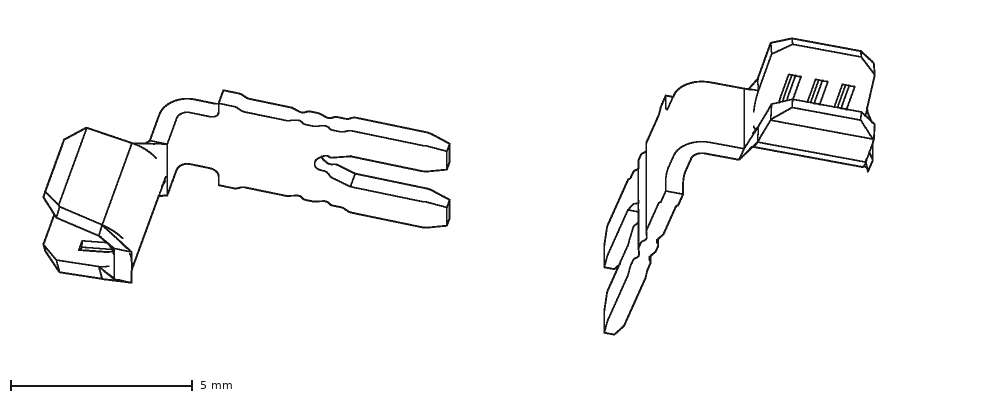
import cadquery as cq
import math

overall_length = 10.39
overall_depth = 5.47
thickness = 0.5

blade_half_height = 1.71
waist_half_height = 1.58
neck_half_height = 1.08
shoulder_x = 3.91
shoulder_radius = 0.25
waist_start_x = 4.41
waist_end_x = 7.64
waist_ramp = 0.19
waist_radius = 0.21

prong_inner_z = 0.63
slot_mouth_x = 7.67
slot_vertex_x = 6.14
slot_radius = 0.31
point_start_x = 9.83
point_taper = 0.16
thinning_start_x = 9.73
thinning = 0.1

groove_start_x = 5.86
groove_pitch = 0.77
groove_count = 2
groove_depth = 0.12
groove_ramp_angle = math.radians(20)
groove_edge_radius = 0.15
groove_root_radius = 0.18

bend_inner_radius = 0.3
bend_outer_radius = bend_inner_radius + thickness
trough_axis_x = 1.64
trough_outer_radius = 1.15
trough_inner_radius = trough_outer_radius - thickness
neck_outer_x = trough_axis_x + trough_outer_radius
neck_inner_x = neck_outer_x - thickness
neck_end_y = -1.78
trough_back_y = -2.04
trough_front_y = -5.13
trough_front_tilt = 4.5
lip_half_height = 0.64

wing_angle = 11
wing_slope = math.radians(wing_angle)
wing_root_x = trough_axis_x + trough_inner_radius * math.sin(wing_slope)
wing_root_z = trough_inner_radius * math.cos(wing_slope)
wing_length = wing_root_x / math.cos(wing_slope)
wing_back_corner = 0.47
wing_front_corner_length = 0.53
wing_front_corner_y = -5.01
wing_tip_front_y = -4.47
wing_tip_thickness = 0.26
wing_tip_chamfer_length = 0.49

grip_first_y = -2.87
grip_pitch = 0.77
grip_count = 3
grip_width = 0.35
grip_floor_width = 0.1
grip_depth = 0.12
grip_wing_length = 0.74


def rounded_outline(plane, corners):
    """Closed outline through corners (x, y, radius); a radius of 0 keeps the corner sharp."""
    steps = []
    for index, (x, y, radius) in enumerate(corners):
        corner = cq.Vector(x, y)
        before = cq.Vector(*corners[index - 1][:2])
        after = cq.Vector(*corners[(index + 1) % len(corners)][:2])
        to_before = (before - corner).normalized()
        to_after = (after - corner).normalized()
        if radius == 0:
            steps.append((corner, corner, corner))
            continue
        half_angle = to_before.getAngle(to_after) / 2
        setback = radius / math.tan(half_angle)
        sagitta = radius / math.sin(half_angle) - radius
        middle = corner + (to_before + to_after).normalized() * sagitta
        steps.append((corner + to_before * setback, middle, corner + to_after * setback))

    outline = cq.Workplane(plane).moveTo(*steps[0][2].toTuple()[:2])
    for start, middle, end in steps[1:] + steps[:1]:
        outline = outline.lineTo(*start.toTuple()[:2])
        if start != end:
            outline = outline.threePointArc(middle.toTuple()[:2], end.toTuple()[:2])
    return outline.close()


def groove_corners(face_y, inward):
    """Corners of the grooves on one blade face, listed in the +X direction."""
    ramp_run = groove_depth / math.tan(groove_ramp_angle)
    corners = []
    for index in range(groove_count):
        start_x = groove_start_x + index * groove_pitch
        root_x = start_x + ramp_run
        corners += [
            (start_x, face_y, groove_edge_radius),
            (root_x, face_y + inward * groove_depth, groove_root_radius),
            (root_x + groove_depth, face_y, groove_edge_radius),
        ]
    return corners


def make_bent_strip():
    """Blade and neck in plan: bend, cross grooves and thinned prong points."""
    corners = [(neck_inner_x, neck_end_y, 0), (neck_inner_x, 0, bend_outer_radius)]
    corners += groove_corners(0, -1)
    corners += [
        (thinning_start_x, 0, 0),
        (overall_length, -thinning, 0),
        (overall_length, thinning - thickness, 0),
        (thinning_start_x, -thickness, 0),
    ]
    corners += groove_corners(-thickness, 1)[::-1]
    corners += [(neck_outer_x, -thickness, bend_inner_radius), (neck_outer_x, neck_end_y, 0)]
    return rounded_outline("XY", corners).extrude(blade_half_height, both=True)


def make_blade_envelope():
    """Prism along Y carrying the blade outline with its shoulders, waist and fork."""
    upper = [
        (0, neck_half_height, 0),
        (shoulder_x, neck_half_height, shoulder_radius),
        (shoulder_x, blade_half_height, 0),
        (waist_start_x, blade_half_height, waist_radius),
        (waist_start_x + waist_ramp, waist_half_height, waist_radius),
        (waist_end_x - waist_ramp, waist_half_height, waist_radius),
        (waist_end_x, blade_half_height, waist_radius),
        (point_start_x, blade_half_height, 0),
        (overall_length, blade_half_height - point_taper, 0),
        (overall_length, prong_inner_z + point_taper, 0),
        (point_start_x, prong_inner_z, 0),
        (slot_mouth_x, prong_inner_z, 0),
    ]
    lower = [(x, -z, radius) for x, z, radius in reversed(upper)]
    outline = rounded_outline("XZ", upper + [(slot_vertex_x, 0, slot_radius)] + lower)
    return outline.extrude(overall_depth)


def flat_edges(y, half_height):
    """Inner and outer edge of a flat cross-section, both running upwards."""
    return [
        cq.Edge.makeLine(cq.Vector(x, y, -half_height), cq.Vector(x, y, half_height))
        for x in (neck_inner_x, neck_outer_x)
    ]


def curved_edges(y):
    """Inner and outer arc of a trough cross-section, both running upwards."""
    edges = []
    for radius in (trough_inner_radius, trough_outer_radius):
        end_x = trough_axis_x + radius * math.sin(wing_slope)
        end_z = radius * math.cos(wing_slope)
        edges.append(
            cq.Edge.makeThreePointArc(
                cq.Vector(end_x, y, -end_z),
                cq.Vector(trough_axis_x + radius, y, 0),
                cq.Vector(end_x, y, end_z),
            )
        )
    return edges


def ruled_solid(first_edges, second_edges):
    """Solid between two cross-sections, each given by its inner and outer edge."""
    lower_sides = []
    upper_sides = []
    for inner, outer in (first_edges, second_edges):
        lower_sides.append(cq.Edge.makeLine(inner.startPoint(), outer.startPoint()))
        upper_sides.append(cq.Edge.makeLine(inner.endPoint(), outer.endPoint()))
    edge_pairs = [
        *zip(first_edges, second_edges),
        lower_sides,
        upper_sides,
        first_edges,
        second_edges,
    ]
    faces = [cq.Face.makeRuledSurface(*pair) for pair in edge_pairs]
    return cq.Solid.makeSolid(cq.Shell.makeShell(faces))


def make_trough():
    """Curved trough with ruled transitions to the flat neck and to the flat front lip."""
    neck = flat_edges(neck_end_y, neck_half_height)
    back = curved_edges(trough_back_y)
    pivot = cq.Vector(wing_root_x, trough_front_y, 0)
    pivot_top = pivot + cq.Vector(0, 0, 0.1)
    front = [edge.rotate(pivot, pivot_top, -trough_front_tilt) for edge in curved_edges(trough_front_y)]
    lip = flat_edges(-overall_depth, lip_half_height)
    trough = cq.Workplane(ruled_solid(neck, back))
    return trough.union(ruled_solid(back, front)).union(ruled_solid(front, lip))


def place_on_wing(flat_body):
    """Move a body from wing coordinates (root at the origin, inner face on Z = 0) to the upper wing."""
    tilted = flat_body.rotate((0, 0, 0), (0, 1, 0), wing_angle)
    return tilted.translate((wing_root_x, 0, wing_root_z))


def make_upper_wing():
    plan = [
        (0, trough_back_y),
        (wing_back_corner - wing_length, trough_back_y),
        (-wing_length, trough_back_y - wing_back_corner),
        (-wing_length, wing_tip_front_y),
        (wing_front_corner_length - wing_length, wing_front_corner_y),
        (0, trough_front_y),
    ]
    side = [
        (0, 0),
        (-wing_length, 0),
        (-wing_length, wing_tip_thickness),
        (wing_tip_chamfer_length - wing_length, thickness),
        (0, thickness),
    ]
    plate = cq.Workplane("XY").polyline(plan).close().extrude(thickness)
    return place_on_wing(plate.intersect(cq.Workplane("XZ").polyline(side).close().extrude(overall_depth)))


def make_grip_cutter(y):
    """Trapezoidal groove following the trough arc and running out onto both wings."""
    half_floor = grip_floor_width / 2
    half_width = grip_width / 2
    floor_radius = trough_inner_radius + grip_depth
    arc = (
        cq.Workplane("XY")
        .polyline([
            (0, y - half_width),
            (trough_inner_radius, y - half_width),
            (floor_radius, y - half_floor),
            (floor_radius, y + half_floor),
            (trough_inner_radius, y + half_width),
            (0, y + half_width),
        ])
        .close()
        .revolve(360, (0, 0, 0), (0, 1, 0))
        .translate((trough_axis_x, 0, 0))
    )
    straight = place_on_wing(
        cq.Workplane("YZ")
        .polyline([
            (y - half_width, 0),
            (y - half_floor, grip_depth),
            (y + half_floor, grip_depth),
            (y + half_width, 0),
        ])
        .close()
        .extrude(-grip_wing_length)
    )
    return arc.union(straight).union(straight.mirror("XY"))


upper_wing = make_upper_wing()
result = make_bent_strip().intersect(make_blade_envelope())
result = result.union(make_trough()).union(upper_wing).union(upper_wing.mirror("XY"))
for grip_index in range(grip_count):
    result = result.cut(make_grip_cutter(grip_first_y - grip_index * grip_pitch))